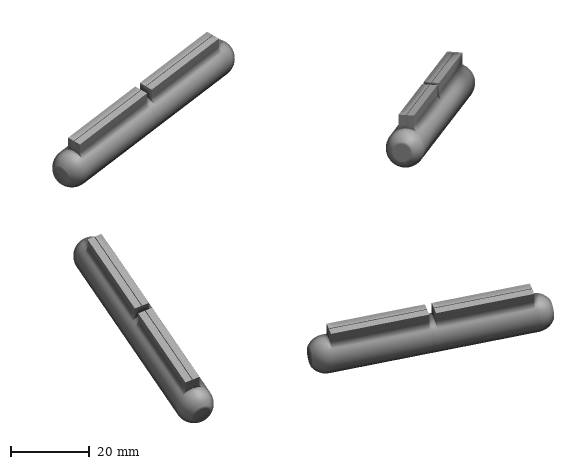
import cadquery as cq
import math

total_length = 64.0
barrel_radius = 5.0
washer_thickness = 1.8
dome_length = 4.25
dome_edge_radius = 1.0
leaf_length = 26.0
leaf_top = 8.5
leaf_half_width = 2.0
leaf_slit_width = 0.2
leaf_fillet_radius = 1.8

half_length = total_length / 2
washer_face = washer_thickness / 2
dome_start = half_length - dome_length


def make_domed_barrel():
    """Solid barrel on the +Y side of the washer, with a rounded, flat-ended dome."""
    edge_centre_along = dome_length - dome_edge_radius
    edge_centre_distance = barrel_radius - dome_edge_radius
    flat_radius = math.sqrt(edge_centre_distance**2 - edge_centre_along**2)
    edge_angle = math.atan2(edge_centre_along, flat_radius)

    def dome_point(angle):
        return (dome_start + barrel_radius * math.sin(angle), barrel_radius * math.cos(angle))

    edge_mid_angle = (edge_angle + math.pi / 2) / 2
    edge_mid = (
        dome_start + edge_centre_along + dome_edge_radius * math.sin(edge_mid_angle),
        flat_radius + dome_edge_radius * math.cos(edge_mid_angle),
    )
    return (
        cq.Workplane("YZ")
        .moveTo(washer_face, 0)
        .lineTo(washer_face, barrel_radius)
        .lineTo(dome_start, barrel_radius)
        .threePointArc(dome_point(edge_angle / 2), dome_point(edge_angle))
        .threePointArc(edge_mid, (half_length, flat_radius))
        .lineTo(half_length, 0)
        .close()
        .revolve(360, (0, 0, 0), (1, 0, 0))
    )


def make_leaf():
    """Two-ply leaf standing on the +Y barrel, blended into it and slit down to its top."""
    blend_centre_x = leaf_half_width + leaf_fillet_radius
    blend_centre_distance = barrel_radius + leaf_fillet_radius
    blend_centre_z = math.sqrt(blend_centre_distance**2 - blend_centre_x**2)
    foot_scale = barrel_radius / blend_centre_distance
    foot_x = blend_centre_x * foot_scale
    foot_z = blend_centre_z * foot_scale

    blend_mid_angle = (math.pi + math.atan2(blend_centre_z, blend_centre_x) + math.pi) / 2
    blend_mid_x = blend_centre_x + leaf_fillet_radius * math.cos(blend_mid_angle)
    blend_mid_z = blend_centre_z + leaf_fillet_radius * math.sin(blend_mid_angle)

    leaf = (
        cq.Workplane("XZ", origin=(0, washer_face, 0))
        .moveTo(-leaf_half_width, leaf_top)
        .lineTo(leaf_half_width, leaf_top)
        .lineTo(leaf_half_width, blend_centre_z)
        .threePointArc((blend_mid_x, blend_mid_z), (foot_x, foot_z))
        .lineTo(0, 0)
        .lineTo(-foot_x, foot_z)
        .threePointArc((-blend_mid_x, blend_mid_z), (-leaf_half_width, blend_centre_z))
        .close()
        .extrude(-leaf_length)
    )
    slit = cq.Workplane("XY").box(
        leaf_slit_width, leaf_length, leaf_top - barrel_radius, centered=(True, False, False)
    )
    return leaf.cut(slit.translate((0, washer_face, barrel_radius)))


def make_hinge_half(turn):
    """Barrel and leaf as one solid, turned about Z to its side of the washer."""
    half = make_domed_barrel().union(make_leaf())
    return half.rotate((0, 0, 0), (0, 0, 1), turn)


def make_washer():
    """Plain disc between the two halves."""
    return (
        cq.Workplane("XZ", origin=(0, washer_face, 0))
        .circle(barrel_radius)
        .extrude(washer_thickness)
    )


washer = make_washer()
hinge_halves = [make_hinge_half(turn) for turn in (0, 180)]

result = cq.Compound.makeCompound([washer.val(), *[half.val() for half in hinge_halves]])